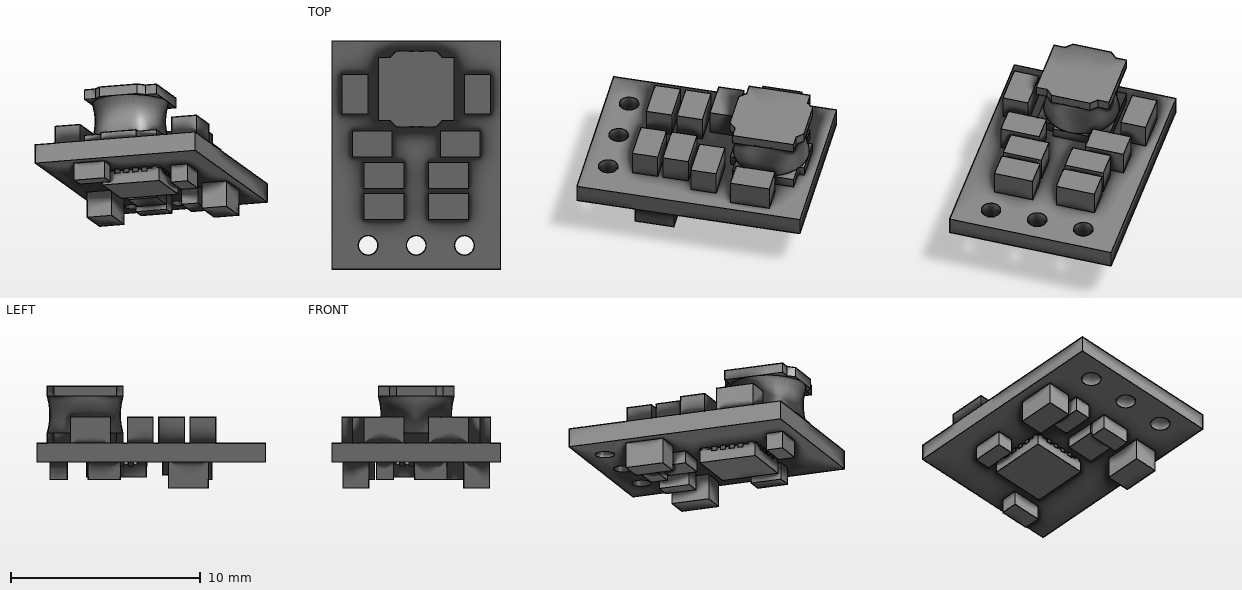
import cadquery as cq

BOARD_WIDTH = 8.89
BOARD_LENGTH = 12.06
BOARD_THICKNESS = 1.0

PIN_PITCH = 2.54
PIN_HOLE_DIAMETER = 1.02
PIN_ROW_Y = -BOARD_LENGTH / 2 + PIN_PITCH / 2

LARGE_CHIP = (2.1, 1.37, 0.49)
SMALL_CHIP = (1.7, 0.92, 0.31)

SIDE_CHIP_X = 3.24
SIDE_CHIP_Y = 3.21
CHIP_ROW_PITCH = 1.65
FIRST_ROW_Y = 0.58
ROW_CHIP_X = (2.32, 1.70, 1.70)
LOWER_CHIP_X = 3.19
LOWER_CHIP_Y = -1.96

SMALL_CHIPS = (
    (-2.66, 2.48, "Y"),
    (-1.65, -2.34, "Y"),
    (0.77, -2.74, "X"),
    (1.66, 4.89, "X"),
)

INDUCTOR_Y = 3.49
INDUCTOR_HEIGHT = 3.0
FLANGE_HALF = 2.0
FLANGE_THICKNESS = 0.52
EAR_HALF = 1.65
TOP_TAB_HALF = 1.05
BOTTOM_TAB_HALF = 0.97
BOTTOM_NOTCH_RADIUS = 0.15
SPOOL_END_RADIUS = FLANGE_HALF
SPOOL_WAIST_RADIUS = 1.86

CONTROLLER_Y = 1.83
CONTROLLER_SIZE = 3.15
CONTROLLER_DEPTH = 0.80
CONTROLLER_STANDOFF = 0.09
LEAD_PITCH = 0.5
LEADS_PER_SIDE = 4
LEAD_WIDTH = 0.29
LEAD_LENGTH = 0.4
LEAD_HEIGHT = 0.22
LEAD_PROTRUSION = 0.02
CORNER_PAD_SIZE = 0.5
CORNER_PAD_RADIUS = 0.13

FLAT_PART_X_MIN = -0.11
FLAT_PART_Y_MAX = -0.60
FLAT_PART_SIZE = 1.6
FLAT_PART_DEPTH = 0.67


def block(size_x, size_y, height, x, y, z):
    """Box centred at x, y that rises from height z."""
    return cq.Workplane("XY").box(size_x, size_y, height, centered=(True, True, False)).translate((x, y, z))


def make_board():
    board = block(BOARD_WIDTH, BOARD_LENGTH, BOARD_THICKNESS, 0, 0, 0)
    hole_centres = [(step * PIN_PITCH, PIN_ROW_Y) for step in (-1, 0, 1)]
    holes = cq.Workplane("XY").pushPoints(hole_centres).circle(PIN_HOLE_DIAMETER / 2)
    return board.cut(holes.extrude(BOARD_THICKNESS))


def chip_parts(chip, x, y, axis, on_top):
    """Body and two flush end terminals of a chip lying along the given axis."""
    length, section, terminal = chip
    z = BOARD_THICKNESS if on_top else -section
    body_length = length - 2 * terminal
    offset = (body_length + terminal) / 2
    parts = []
    for size, shift in ((terminal, -offset), (body_length, 0), (terminal, offset)):
        if axis == "X":
            parts.append(block(size, section, section, x + shift, y, z))
        else:
            parts.append(block(section, size, section, x, y + shift, z))
    return parts


def large_chips():
    parts = []
    for side in (-1, 1):
        parts += chip_parts(LARGE_CHIP, side * SIDE_CHIP_X, SIDE_CHIP_Y, "Y", True)
        parts += chip_parts(LARGE_CHIP, side * LOWER_CHIP_X, LOWER_CHIP_Y, "Y", False)
        for row, x in enumerate(ROW_CHIP_X):
            parts += chip_parts(LARGE_CHIP, side * x, FIRST_ROW_Y - row * CHIP_ROW_PITCH, "X", True)
    return parts


def small_chips():
    parts = []
    for x, y, axis in SMALL_CHIPS:
        parts += chip_parts(SMALL_CHIP, x, y, axis, False)
    return parts


def top_flange():
    """Square flange whose corners step in along a 45 degree slope."""
    slope_x = TOP_TAB_HALF + FLANGE_HALF - EAR_HALF
    flange = cq.Workplane("XY").rect(2 * FLANGE_HALF, 2 * EAR_HALF).extrude(FLANGE_THICKNESS)
    for side in (-1, 1):
        tab = cq.Workplane("XY").polyline([
            (-slope_x, side * EAR_HALF),
            (-TOP_TAB_HALF, side * FLANGE_HALF),
            (TOP_TAB_HALF, side * FLANGE_HALF),
            (slope_x, side * EAR_HALF),
        ])
        flange = flange.union(tab.close().extrude(FLANGE_THICKNESS))
    return flange


def bottom_flange():
    """Square flange with a square notch, rounded inside, at each corner."""
    ears = cq.Workplane("XY").rect(2 * FLANGE_HALF, 2 * EAR_HALF).extrude(FLANGE_THICKNESS)
    tabs = cq.Workplane("XY").rect(2 * BOTTOM_TAB_HALF, 2 * FLANGE_HALF).extrude(FLANGE_THICKNESS)
    inner_corners = cq.selectors.BoxSelector(
        (-BOTTOM_TAB_HALF - BOTTOM_NOTCH_RADIUS, -EAR_HALF - BOTTOM_NOTCH_RADIUS, 0),
        (BOTTOM_TAB_HALF + BOTTOM_NOTCH_RADIUS, EAR_HALF + BOTTOM_NOTCH_RADIUS, FLANGE_THICKNESS),
    )
    return ears.union(tabs).edges("|Z").edges(inner_corners).fillet(BOTTOM_NOTCH_RADIUS)


def inductor_parts():
    """Bottom flange, waisted spool and top flange."""
    spool_bottom = BOARD_THICKNESS + FLANGE_THICKNESS
    spool_top = BOARD_THICKNESS + INDUCTOR_HEIGHT - FLANGE_THICKNESS
    spool_middle = (spool_bottom + spool_top) / 2
    spool = (
        cq.Workplane("XZ")
        .moveTo(0, spool_bottom)
        .lineTo(SPOOL_END_RADIUS, spool_bottom)
        .threePointArc((SPOOL_WAIST_RADIUS, spool_middle), (SPOOL_END_RADIUS, spool_top))
        .lineTo(0, spool_top)
        .close()
        .revolve(360, (0, 0, 0), (0, 1, 0))
    )
    return [
        bottom_flange().translate((0, INDUCTOR_Y, BOARD_THICKNESS)),
        spool.translate((0, INDUCTOR_Y, 0)),
        top_flange().translate((0, INDUCTOR_Y, spool_top)),
    ]


def controller_parts():
    """Package body held off the board by side leads and corner pads."""
    half = CONTROLLER_SIZE / 2
    body_height = CONTROLLER_DEPTH - CONTROLLER_STANDOFF
    parts = [block(CONTROLLER_SIZE, CONTROLLER_SIZE, body_height, 0, 0, -CONTROLLER_DEPTH)]
    pad_offset = half - CORNER_PAD_SIZE / 2
    lead_offset = half + LEAD_PROTRUSION - LEAD_LENGTH / 2
    for quarter in range(4):
        turn = quarter * 90
        pad = block(CORNER_PAD_SIZE, CORNER_PAD_SIZE, CONTROLLER_STANDOFF,
                    pad_offset, pad_offset, -CONTROLLER_STANDOFF)
        pad = pad.edges("|Z").fillet(CORNER_PAD_RADIUS)
        parts.append(pad.rotate((0, 0, 0), (0, 0, 1), turn))
        for index in range(LEADS_PER_SIDE):
            along = (index - (LEADS_PER_SIDE - 1) / 2) * LEAD_PITCH
            lead = block(LEAD_LENGTH, LEAD_WIDTH, LEAD_HEIGHT, lead_offset, along, -LEAD_HEIGHT)
            parts.append(lead.rotate((0, 0, 0), (0, 0, 1), turn))
    return [part.translate((0, CONTROLLER_Y, 0)) for part in parts]


def flat_part():
    x = FLAT_PART_X_MIN + FLAT_PART_SIZE / 2
    y = FLAT_PART_Y_MAX - FLAT_PART_SIZE / 2
    return block(FLAT_PART_SIZE, FLAT_PART_SIZE, FLAT_PART_DEPTH, x, y, -FLAT_PART_DEPTH)


components = large_chips() + small_chips() + inductor_parts() + controller_parts() + [flat_part()]

shapes = [component.val() for component in components]
result = cq.Workplane("XY").newObject([make_board().val().fuse(*shapes)])